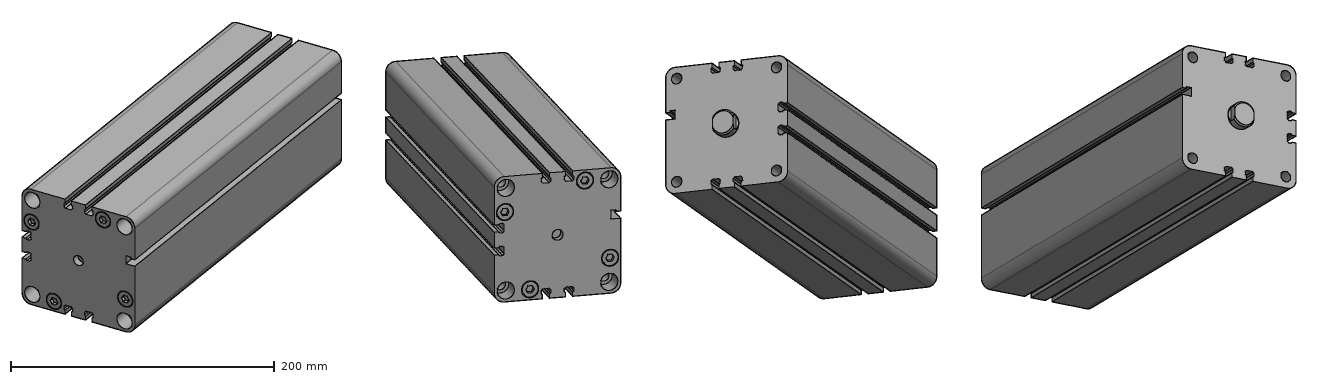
import cadquery as cq
import math

TOTAL_LENGTH = 314.0
SIDE = 100.0
CORNER_RADIUS = 8.0
ROD_LENGTH = 8.0
BODY_LENGTH = TOTAL_LENGTH - ROD_LENGTH
HALF_SIDE = SIDE / 2
FRONT_Y = -TOTAL_LENGTH / 2
BACK_Y = FRONT_Y + BODY_LENGTH

SLOT_OFFSET = 9.0
SLOT_DEPTH = 8.0
SLOT_NECK_WIDTH = 5.5
SLOT_NECK_DEPTH = 3.5
SLOT_HEAD_WIDTH = 7.5
SLOT_HEAD_CHAMFER = 1.3

HOOK_SLOT_BOTTOM = 9.0
HOOK_MOUTH_WIDTH = 5.5
HOOK_INNER_WIDTH = 7.0
HOOK_LIP_DEPTH = 3.8

CORNER_HOLE_OFFSET = 40.8
CORNER_HOLE_DIAMETER = 8.5
CORNER_BORE_DIAMETER = 13.5
CORNER_BORE_DEPTH = 16.0

SCREW_EDGE_OFFSET = 41.5
SCREW_SIDE_OFFSET = 21.7
SCREW_BORE_DIAMETER = 13.5
SCREW_HEAD_DIAMETER = 12.5
SCREW_GAP_DEPTH = 6.0
HEX_ACROSS_FLATS = 5.5
HEX_DEPTH = 3.0

CENTRE_HOLE_DIAMETER = 8.5
CENTRE_HOLE_DEPTH = 6.3

ROD_DIAMETER = 20.0
ROD_CHAMFER = 1.3
ROD_ACROSS_FLATS = 17.0
FLAT_LENGTH = 5.5


def front_plane():
    """Front face of the body, with local x along +X, local y along +Z and normal -Y."""
    return cq.Workplane("XZ", origin=(0, FRONT_Y, 0))


def make_body():
    body = front_plane().rect(SIDE, SIDE).extrude(-BODY_LENGTH)
    return body.edges("|Y").fillet(CORNER_RADIUS)


def t_slot(offset, angle):
    """T-slot in the top face at x = offset, turned about the long axis by angle degrees."""
    neck_half = SLOT_NECK_WIDTH / 2
    head_half = SLOT_HEAD_WIDTH / 2
    shoulder = head_half - neck_half
    neck_end = HALF_SIDE - SLOT_NECK_DEPTH
    floor = HALF_SIDE - SLOT_DEPTH
    half_outline = [
        (neck_half, HALF_SIDE),
        (neck_half, neck_end),
        (head_half, neck_end - shoulder),
        (head_half, floor + SLOT_HEAD_CHAMFER),
        (head_half - SLOT_HEAD_CHAMFER, floor),
    ]
    right_side = [(offset + x, z) for x, z in half_outline]
    left_side = [(offset - x, z) for x, z in reversed(half_outline)]
    slot = front_plane().polyline(right_side + left_side).close().extrude(-BODY_LENGTH)
    return slot.rotate((0, 0, 0), (0, 1, 0), angle)


def hook_slot():
    """Slot in the right face with a lip along its upper edge only."""
    floor = HALF_SIDE - SLOT_DEPTH
    lip_end = HALF_SIDE - HOOK_LIP_DEPTH
    mouth_top = HOOK_SLOT_BOTTOM + HOOK_MOUTH_WIDTH
    inner_top = HOOK_SLOT_BOTTOM + HOOK_INNER_WIDTH
    outline = [
        (HALF_SIDE, HOOK_SLOT_BOTTOM),
        (floor, HOOK_SLOT_BOTTOM),
        (floor, inner_top),
        (lip_end, inner_top),
        (lip_end, mouth_top),
        (HALF_SIDE, mouth_top),
    ]
    return front_plane().polyline(outline).close().extrude(-BODY_LENGTH)


def corner_holes():
    pitch = 2 * CORNER_HOLE_OFFSET
    centres = front_plane().rect(pitch, pitch, forConstruction=True).vertices()
    holes = centres.circle(CORNER_HOLE_DIAMETER / 2).extrude(-BODY_LENGTH)
    bores = centres.circle(CORNER_BORE_DIAMETER / 2).extrude(-CORNER_BORE_DEPTH)
    return holes.union(bores)


def screw_recesses():
    """Ring gap around each screw head, plus its hexagon socket."""
    centres = front_plane().pushPoints([
        (SCREW_SIDE_OFFSET, SCREW_EDGE_OFFSET),
        (SCREW_EDGE_OFFSET, -SCREW_SIDE_OFFSET),
        (-SCREW_SIDE_OFFSET, -SCREW_EDGE_OFFSET),
        (-SCREW_EDGE_OFFSET, SCREW_SIDE_OFFSET),
    ])
    bores = centres.circle(SCREW_BORE_DIAMETER / 2).extrude(-SCREW_GAP_DEPTH)
    heads = centres.circle(SCREW_HEAD_DIAMETER / 2).extrude(-SCREW_GAP_DEPTH)
    hex_across_corners = HEX_ACROSS_FLATS / math.cos(math.pi / 6)
    sockets = centres.polygon(6, hex_across_corners).extrude(-HEX_DEPTH)
    return bores.cut(heads).union(sockets)


def centre_hole():
    return front_plane().circle(CENTRE_HOLE_DIAMETER / 2).extrude(-CENTRE_HOLE_DEPTH)


def make_rod():
    """Chamfered rod end on the back face, its wrench flats on -X and +X running out at 45 degrees."""
    rod_radius = ROD_DIAMETER / 2
    flat_x = ROD_ACROSS_FLATS / 2
    tip_y = BACK_Y + ROD_LENGTH
    flat_end_y = tip_y - FLAT_LENGTH
    runout_end_y = flat_end_y - (rod_radius - flat_x)
    rod = cq.Workplane("XZ", origin=(0, BACK_Y, 0)).circle(rod_radius).extrude(-ROD_LENGTH)
    rod = rod.faces(">Y").chamfer(ROD_CHAMFER)
    flat_cut = (
        cq.Workplane("XY")
        .polyline([
            (flat_x, tip_y),
            (flat_x, flat_end_y),
            (rod_radius, runout_end_y),
            (rod_radius, tip_y),
        ])
        .close()
        .extrude(rod_radius, both=True)
    )
    return rod.cut(flat_cut).cut(flat_cut.mirror("YZ"))


result = make_body()
for face_angle in (0, 180, -90):
    for slot_offset in (-SLOT_OFFSET, SLOT_OFFSET):
        result = result.cut(t_slot(slot_offset, face_angle))
result = result.cut(hook_slot())
result = result.cut(corner_holes())
result = result.cut(screw_recesses())
result = result.cut(centre_hole())
result = result.union(make_rod())